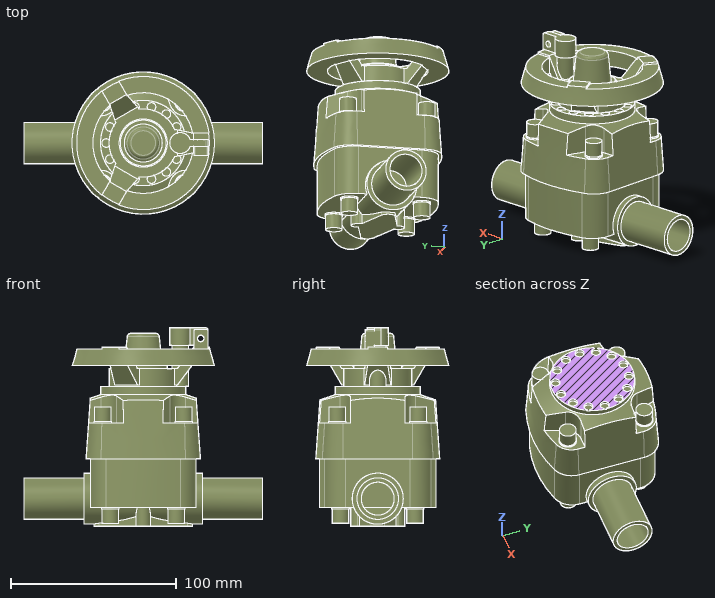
import cadquery as cq
import math


length = 144.0
pipe_z = 16.7
pipe_radius = 12.5
bore_radius = 10.0
collar_radius = 15.4
collar_half_length = 35.9

body_bottom = 11.2
body_top = 40.8
body_half_x = 32.0
body_half_y = 35.3
corner_radius = 13.1
bow_radius = 83.5

foot_bar_y = 12.1
foot_bar_radius = 4.3
foot_wall_y = 11.0
foot_tip_x = 25.5
foot_tip_radius = 4.3

bonnet_half_x = 34.5
bonnet_half_y = 37.5
bonnet_draft = 4.0
shoulder_z = 79.5
shoulder_angle = 19.0
disc_radius = 25.8
disc_top = 84.4

pocket_floor = 62.4
pocket_radius = 9.8
pocket_center_x = 25.5
pocket_center_y = 26.2
pocket_wall_angle = 20.0

bolt_radius = 5.0
washer_radius = 5.3
washer_height = 0.9
upper_bolt_xy = 24.5
upper_bolt_top = 71.9
lower_bolt_x = 19.9
lower_bolt_y = 22.5
lower_bolt_bottom = 1.7

index_count = 14
index_pitch_radius = 22.3
index_hole_radius = 2.6
index_depth = 2.9

hub_radius = 20.6
hub_top = 95.2
rim_bottom = 96.9
rim_top = 107.0
rim_diameter = 86.0
rim_outer_radius = rim_diameter / 2
rim_top_radius = 40.2
rim_inner_radius = 30.4
spoke_angles = (0, 120, 240)
spoke_bottom = 85.2
spoke_top = 108.1
spoke_hub_half_width = 7.9
spoke_rim_half_width = 5.9

cap_collar_radius = 14.5
cap_collar_height = 3.2
cap_collar_chamfer = 0.7
cap_base_radius = 11.8
cap_top_radius = 9.5
cap_top = 116.5
cap_fillet = 2.3

pin_radius = 5.0
pin_head_radius = 6.3
pin_head_bottom = 109.2
pin_head_top = 119.8
arm_half_width = 2.0
arm_end_x = 39.2
arm_corner = 1.5
ear_inner_x = 30.5
ear_outer_y = 7.6
ear_top = 118.7
ear_corner = 0.7
lock_hole_x = 34.7
lock_hole_z = 113.3
lock_hole_radius = 1.9


def cylinder(radius, lower_end, upper_end, x=0.0, y=0.0):
    """Upright cylinder between two heights."""
    return cq.Workplane("XY", origin=(x, y, lower_end)).circle(radius).extrude(upper_end - lower_end)


def pipe_cylinder(radius, x_start, x_end):
    """Cylinder along the pipe axis."""
    return cq.Workplane("YZ", origin=(x_start, 0, pipe_z)).circle(radius).extrude(x_end - x_start)


def four_corners(shape):
    """The shape with its mirror images in the XZ and YZ planes."""
    pair = shape.union(shape.mirror("YZ"))
    return pair.union(pair.mirror("XZ"))


def bowed_block(half_x, half_y, bottom, block_top, draft=0.0):
    """Block with flat X sides, gently bowed Y sides and rounded corners."""
    center_x = half_x - corner_radius
    bow_center_y = half_y - bow_radius
    center_y = bow_center_y + math.sqrt((bow_radius - corner_radius) ** 2 - center_x**2)
    bow_angle = math.atan2(center_y - bow_center_y, center_x)
    bow_x = bow_radius * math.cos(bow_angle)
    bow_y = bow_center_y + bow_radius * math.sin(bow_angle)
    mid_x = center_x + corner_radius * math.cos(bow_angle / 2)
    mid_y = center_y + corner_radius * math.sin(bow_angle / 2)
    outline = (
        cq.Workplane("XY", origin=(0, 0, bottom))
        .moveTo(half_x, -center_y)
        .lineTo(half_x, center_y)
        .threePointArc((mid_x, mid_y), (bow_x, bow_y))
        .threePointArc((0, half_y), (-bow_x, bow_y))
        .threePointArc((-mid_x, mid_y), (-half_x, center_y))
        .lineTo(-half_x, -center_y)
        .threePointArc((-mid_x, -mid_y), (-bow_x, -bow_y))
        .threePointArc((0, -half_y), (bow_x, -bow_y))
        .threePointArc((mid_x, -mid_y), (half_x, -center_y))
        .close()
    )
    return outline.extrude(block_top - bottom, taper=draft)


def make_foot():
    """Slot-shaped cross bar with straight walls that taper from it to a rounded tip at each end."""
    bar = (
        cq.Workplane("XY")
        .slot2D(2 * (foot_bar_y + foot_bar_radius), 2 * foot_bar_radius, 90)
        .extrude(body_bottom)
    )
    run = foot_tip_x - foot_bar_radius
    normal = math.atan2(foot_wall_y, -run) - math.acos(foot_tip_radius / math.hypot(run, foot_wall_y))
    tip_x = foot_tip_x + foot_tip_radius * math.cos(normal)
    tip_y = foot_tip_radius * math.sin(normal)
    tip_end = foot_tip_x + foot_tip_radius
    web = (
        cq.Workplane("XY")
        .moveTo(tip_x, -tip_y)
        .threePointArc((tip_end, 0), (tip_x, tip_y))
        .lineTo(foot_bar_radius, foot_wall_y)
        .lineTo(-foot_bar_radius, foot_wall_y)
        .lineTo(-tip_x, tip_y)
        .threePointArc((-tip_end, 0), (-tip_x, -tip_y))
        .lineTo(-foot_bar_radius, -foot_wall_y)
        .lineTo(foot_bar_radius, -foot_wall_y)
        .close()
        .extrude(body_bottom)
    )
    return bar.union(web)


def make_bore():
    """Blind bore from one pipe end to the body, its floor ramping up to the body's lower edge."""
    bore = pipe_cylinder(bore_radius, body_half_x, length / 2)
    bore_floor = pipe_z - bore_radius
    ramp_length = body_bottom - bore_floor
    ramp = (
        cq.Workplane("XZ")
        .moveTo(body_half_x, bore_floor)
        .lineTo(body_half_x + ramp_length, bore_floor)
        .lineTo(body_half_x, body_bottom)
        .close()
        .extrude(bore_radius, both=True)
    )
    return bore.cut(ramp)


def make_body():
    body = bowed_block(body_half_x, body_half_y, body_bottom, body_top)
    body = body.union(make_foot())
    body = body.union(pipe_cylinder(collar_radius, -collar_half_length, collar_half_length))
    body = body.union(pipe_cylinder(pipe_radius, -length / 2, length / 2))
    bore = make_bore()
    return body.cut(bore).cut(bore.mirror("YZ"))


def make_pocket():
    """Corner pocket around one upper bolt, open to the outside."""
    reach = bonnet_half_y
    angle = math.radians(pocket_wall_angle)
    wall_x = pocket_center_x - pocket_radius * math.cos(angle)
    wall_y = pocket_center_y - pocket_radius * math.sin(angle)
    mid_angle = (angle + math.pi / 2) / 2
    mid_x = pocket_center_x - pocket_radius * math.cos(mid_angle)
    mid_y = pocket_center_y - pocket_radius * math.sin(mid_angle)
    return (
        cq.Workplane("XY", origin=(0, 0, pocket_floor))
        .moveTo(wall_x - (reach - wall_y) * math.tan(angle), reach)
        .lineTo(wall_x, wall_y)
        .threePointArc((mid_x, mid_y), (pocket_center_x, pocket_center_y - pocket_radius))
        .lineTo(reach, pocket_center_y - pocket_radius)
        .lineTo(reach, reach)
        .close()
        .extrude(shoulder_z - pocket_floor)
    )


def make_bonnet():
    block = bowed_block(bonnet_half_x, bonnet_half_y, body_top, shoulder_z, bonnet_draft)
    reach = 2 * disc_radius
    drop = (reach - disc_radius) * math.tan(math.radians(shoulder_angle))
    envelope = (
        cq.Workplane("XZ")
        .moveTo(0, body_top)
        .lineTo(reach, body_top)
        .lineTo(reach, shoulder_z - drop)
        .lineTo(disc_radius, shoulder_z)
        .lineTo(0, shoulder_z)
        .close()
        .revolve(360, (0, 0, 0), (0, 1, 0))
    )
    bonnet = block.intersect(envelope).cut(four_corners(make_pocket()))
    index_holes = (
        cq.Workplane("XY", origin=(0, 0, disc_top))
        .polarArray(index_pitch_radius, 0, 360, index_count)
        .circle(index_hole_radius)
        .extrude(-index_depth)
    )
    disc = cylinder(disc_radius, shoulder_z, disc_top).cut(index_holes)
    return bonnet.union(disc)


def make_bolts():
    upper = cylinder(bolt_radius, pocket_floor, upper_bolt_top, upper_bolt_xy, upper_bolt_xy)
    upper_washer = cylinder(
        washer_radius, pocket_floor, pocket_floor + washer_height, upper_bolt_xy, upper_bolt_xy
    )
    lower = cylinder(bolt_radius, lower_bolt_bottom, body_bottom, lower_bolt_x, lower_bolt_y)
    lower_washer = cylinder(
        washer_radius, body_bottom - washer_height, body_bottom, lower_bolt_x, lower_bolt_y
    )
    return four_corners(upper.union(upper_washer)), four_corners(lower.union(lower_washer))


def rim_radius_at(height):
    """Radius of the rim's outer cone at a height, also above and below the rim."""
    narrowing = (rim_outer_radius - rim_top_radius) / (rim_top - rim_bottom)
    return rim_outer_radius - narrowing * (height - rim_bottom)


def make_spoke():
    """Rising spoke along +X that ends in a raised pad on the rim."""
    radial_run = rim_inner_radius - hub_radius
    slope = (spoke_top - hub_top) / radial_run
    spread = (spoke_hub_half_width - spoke_rim_half_width) / radial_run
    center_half_width = spoke_hub_half_width + spread * hub_radius
    underside_end = hub_radius + (rim_bottom - spoke_bottom) / slope
    side = (
        cq.Workplane("XZ")
        .moveTo(0, spoke_bottom)
        .lineTo(hub_radius, spoke_bottom)
        .lineTo(underside_end, rim_bottom)
        .lineTo(rim_outer_radius, rim_bottom)
        .lineTo(rim_outer_radius, spoke_top)
        .lineTo(rim_inner_radius, spoke_top)
        .lineTo(hub_radius, hub_top)
        .lineTo(0, hub_top)
        .close()
        .extrude(center_half_width, both=True)
    )
    plan = (
        cq.Workplane("XY", origin=(0, 0, spoke_bottom))
        .moveTo(0, center_half_width)
        .lineTo(rim_inner_radius, spoke_rim_half_width)
        .lineTo(rim_outer_radius, spoke_rim_half_width)
        .lineTo(rim_outer_radius, -spoke_rim_half_width)
        .lineTo(rim_inner_radius, -spoke_rim_half_width)
        .lineTo(0, -center_half_width)
        .close()
        .extrude(spoke_top - spoke_bottom)
    )
    return side.intersect(plan)


def make_handwheel():
    rim = cylinder(rim_outer_radius, rim_bottom, rim_top).cut(cylinder(rim_inner_radius, rim_bottom, rim_top))
    wheel = rim.union(cylinder(hub_radius, disc_top, hub_top))
    spoke = make_spoke()
    for angle in spoke_angles:
        wheel = wheel.union(spoke.rotate((0, 0, 0), (0, 0, 1), angle))
    cone = cq.Workplane(
        cq.Solid.makeCone(
            rim_radius_at(disc_top),
            rim_radius_at(spoke_top),
            spoke_top - disc_top,
            cq.Vector(0, 0, disc_top),
        )
    )
    return wheel.intersect(cone)


def make_cap():
    """Tapered spindle cap standing on a thin collar."""
    collar = cylinder(cap_collar_radius, hub_top, hub_top + cap_collar_height)
    collar = collar.faces(">Z").edges().chamfer(cap_collar_chamfer)
    cone = cq.Workplane(
        cq.Solid.makeCone(cap_base_radius, cap_top_radius, cap_top - hub_top, cq.Vector(0, 0, hub_top))
    )
    cone = cone.faces(">Z").edges().fillet(cap_fillet)
    return collar.union(cone)


def make_lock():
    """Locking pin through the first spoke, with an arm lying against the padlock ear on the rim."""
    pin = cylinder(pin_radius, disc_top, pin_head_bottom, index_pitch_radius)
    head = cylinder(pin_head_radius, pin_head_bottom, pin_head_top, index_pitch_radius)
    arm = cq.Workplane("XY").box(
        arm_end_x - index_pitch_radius,
        2 * arm_half_width,
        pin_head_top - pin_head_bottom,
        centered=(False, True, False),
    )
    arm = arm.edges(">X and >Z").fillet(arm_corner)
    arm = arm.translate((index_pitch_radius, 0, pin_head_bottom))
    ear = cq.Workplane("XY").box(
        arm_end_x - ear_inner_x, ear_outer_y - arm_half_width, ear_top - rim_top, centered=False
    )
    ear = ear.faces(">Z").edges("|Y").fillet(ear_corner)
    ear = ear.translate((ear_inner_x, -ear_outer_y, rim_top))
    hole = (
        cq.Workplane("XZ", origin=(lock_hole_x, 0, lock_hole_z))
        .circle(lock_hole_radius)
        .extrude(ear_outer_y, both=True)
    )
    return pin.union(head).union(arm.union(ear).cut(hole))


upper_bolts, lower_bolts = make_bolts()
result = (
    make_body()
    .union(make_bonnet())
    .union(upper_bolts)
    .union(lower_bolts)
    .union(make_handwheel())
    .union(make_cap())
    .union(make_lock())
)